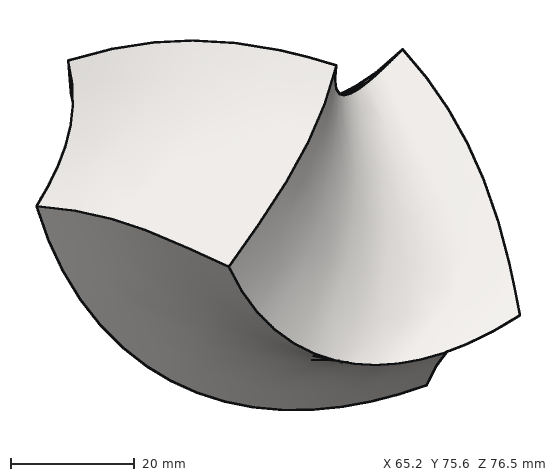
import cadquery as cq


SIZE_X = 65.11
SIZE_Y = 75.61
SIZE_Z = 76.45

CORNERS = {
    "a": (-SIZE_X / 2, -16.55, 20.55),
    "b": (-14.35, -SIZE_Y / 2, 17.70),
    "c": (20.90, -26.20, 27.95),
    "d": (6.00, 8.20, SIZE_Z / 2),
    "e": (-18.10, 19.60, -35.50),
    "f": (20.50, 15.25, -SIZE_Z / 2),
    "g": (32.40, 25.10, -15.50),
    "h": (-13.65, SIZE_Y / 2, -1.90),
}

EDGE_PULLS = {
    "ab": [(-22.10, -21.85, 19.90), (-17.65, -30.05, 18.65)],
    "bc": [(-0.95, -31.05, 24.30), (9.80, -29.10, 25.75)],
    "dc": [(14.20, -2.55, 33.65), (17.55, -15.00, 30.80)],
    "ad": [(-22.65, -6.10, 29.55), (-11.25, 1.55, 34.55)],
    "ef": [(-6.80, 19.40, -35.60), (5.60, 19.80, -35.15)],
    "fg": [(21.90, 17.45, -28.05), (26.05, 20.65, -19.75)],
    "hg": [(9.65, 37.40, -3.15), (22.40, 30.90, -15.75)],
    "eh": [(-18.35, 24.85, -23.70), (-17.60, 31.00, -11.75)],
    "ae": [(-28.80, -19.05, -7.70), (-17.20, -10.35, -22.80)],
    "bf": [(-4.30, -35.90, -17.15), (16.00, -21.90, -31.25)],
    "cg": [(23.90, -18.65, -3.70), (34.25, -3.00, -12.75)],
    "dh": [(-1.80, 12.70, 11.25), (-7.35, 25.00, 5.20)],
}

FACES = [
    ("ab", "dc", "ad", "bc", 0.0),
    ("ef", "hg", "eh", "fg", 0.0),
    ("ab", "ef", "ae", "bf", 1.6),
    ("bc", "fg", "bf", "cg", 1.4),
    ("dc", "hg", "dh", "cg", 0.6),
    ("ad", "eh", "ae", "dh", -0.1),
]

PATCH_STEPS = 12
FACE_TOLERANCE = 0.001
SEAM_TOLERANCE = 0.05

MIN_DEGREE = 3
MAX_DEGREE = 5


def mixed(start, end, fraction):
    """Point the given fraction of the way from start to end."""
    return start + (end - start) * fraction


def edge_point(name, fraction):
    """Point on the cubic curve between the two corners that the edge is named after."""
    start, end = (CORNERS[letter] for letter in name)
    points = [cq.Vector(*point) for point in (start, *EDGE_PULLS[name], end)]
    while len(points) > 1:
        points = [mixed(first, second, fraction) for first, second in zip(points, points[1:])]
    return points[0]


def blended_point(near, far, left, right, across, along):
    """Point on the patch blended evenly from a face's four edges."""
    between_sides = mixed(edge_point(left, along), edge_point(right, along), across)
    between_ends = mixed(edge_point(near, across), edge_point(far, across), along)
    near_line = mixed(edge_point(near, 0), edge_point(near, 1), across)
    far_line = mixed(edge_point(far, 0), edge_point(far, 1), across)
    return between_sides + between_ends - mixed(near_line, far_line, along)


def bow_direction(near, far, left, right):
    """Unit vector square to the two mid-lines of a face."""
    mid_across = edge_point(right, 0.5) - edge_point(left, 0.5)
    mid_along = edge_point(far, 0.5) - edge_point(near, 0.5)
    return mid_across.cross(mid_along).normalized()


def bow_share(fraction):
    """Share of the full bow at a fraction of the way across: 0 at both ends and 1 in the middle."""
    return 4 * fraction * (1 - fraction)


def freeform_face(near, far, left, right, bow):
    """Smooth face through a grid of points on the blended patch, bowed in its middle."""
    steps = [step / PATCH_STEPS for step in range(PATCH_STEPS + 1)]
    full_bow = bow_direction(near, far, left, right) * bow
    grid = [
        [
            blended_point(near, far, left, right, across, along)
            + full_bow * (bow_share(across) * bow_share(along))
            for along in steps
        ]
        for across in steps
    ]
    return cq.Face.makeSplineApprox(grid, tol=FACE_TOLERANCE, minDeg=MIN_DEGREE, maxDeg=MAX_DEGREE)


faces = [freeform_face(*face) for face in FACES]
skin = cq.occ_impl.shapes.shell(*faces, tol=SEAM_TOLERANCE)
block = cq.Solid.makeSolid(skin)
result = cq.Workplane("XY").newObject([block])